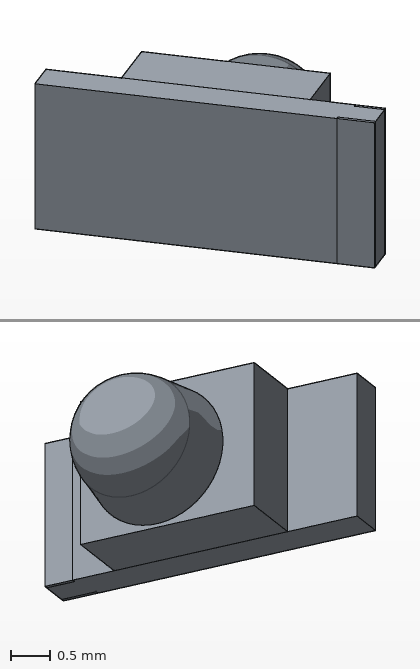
import cadquery as cq
import math

board_length = 4.5
board_thickness = 0.5
board_height = 2.0

pad_thickness = 0.05
front_pad_length = 0.4
back_pad_length = 0.5

housing_length = 2.5
housing_depth = 0.9

lens_offset_x = 0.15
lens_base_radius = 0.95
lens_dome_radius = 0.85
lens_depth = 1.4

board_front_y = board_thickness
housing_front_y = board_front_y + housing_depth
lens_tip_y = housing_front_y + lens_depth
dome_center_y = lens_tip_y - lens_dome_radius


def block(length, back_y, front_y, center_x=0.0):
    """Full-height block between two Y planes, centred on Z = 0."""
    center_y = (back_y + front_y) / 2
    return cq.Workplane("XY").box(length, front_y - back_y, board_height).translate((center_x, center_y, 0))


def make_pad(length, back_y):
    """Thin pad ending flush with the +X end of the board."""
    return block(length, back_y, back_y + pad_thickness, (board_length - length) / 2)


def make_board(pads):
    """Board with a matching recess for each pad."""
    board = block(board_length, 0, board_front_y)
    for pad in pads:
        board = board.cut(pad)
    return board


def make_lens():
    """Tapered lens whose side runs tangent into a spherical dome, revolved about Y."""
    base_distance = dome_center_y - housing_front_y
    center_to_base_edge = math.hypot(lens_base_radius, base_distance)
    base_edge_angle = math.atan2(base_distance, lens_base_radius)
    tangent_angle = math.acos(lens_dome_radius / center_to_base_edge) - base_edge_angle
    middle_angle = (tangent_angle + math.pi / 2) / 2

    def dome_point(angle):
        return (
            lens_dome_radius * math.cos(angle),
            dome_center_y + lens_dome_radius * math.sin(angle),
        )

    profile = (
        cq.Workplane("XY")
        .moveTo(0, housing_front_y)
        .lineTo(lens_base_radius, housing_front_y)
        .lineTo(*dome_point(tangent_angle))
        .threePointArc(dome_point(middle_angle), (0, lens_tip_y))
        .close()
    )
    return profile.revolve(360, (0, 0, 0), (0, 1, 0)).translate((lens_offset_x, 0, 0))


front_pad = make_pad(front_pad_length, board_front_y - pad_thickness)
back_pad = make_pad(back_pad_length, 0)
board = make_board([front_pad, back_pad])
housing = block(housing_length, board_front_y, housing_front_y)
lens = make_lens()

result = cq.Compound.makeCompound(
    [board.val(), front_pad.val(), back_pad.val(), housing.val(), lens.val()]
)